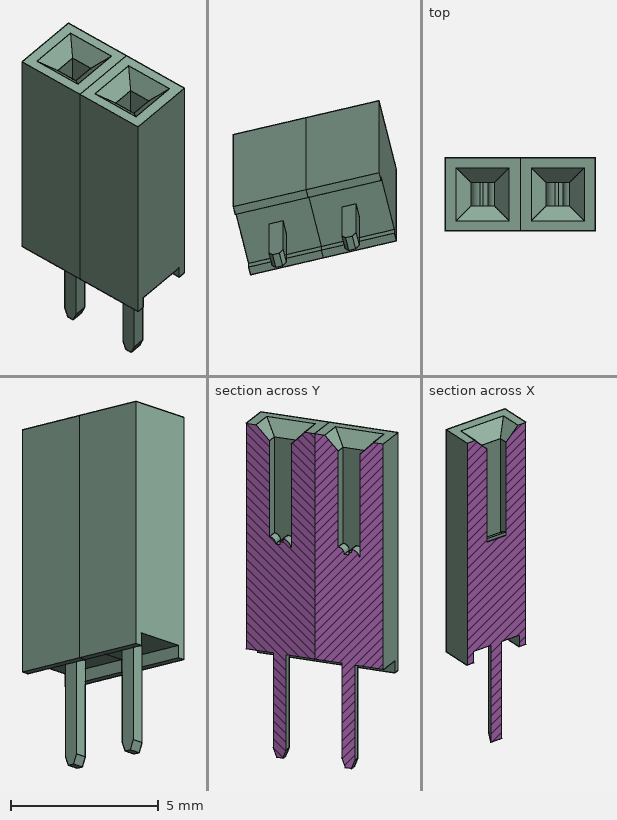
import cadquery as cq
import math

total_height = 11.88
pitch = 2.54
cell_count = 2
cell_depth = 2.48
pin_length = 3.3
cell_height = total_height - pin_length

foot_thickness = 0.29
channel_height = 0.44
channel_width = cell_depth - 2 * foot_thickness

mouth_size = 1.79
throat_size = 0.8
funnel_depth = (mouth_size - throat_size) / 2

floor_depth = 4.28
left_ridge_radius = 0.31
right_ridge_radius = 0.23
ledge_split = 0.42
ledge_step = 0.1

pin_width = 0.5
pin_thickness = 0.46
tip_width = 0.24
taper_height = 0.33
pin_offset = 0.02


def arc_middle(center_x, center_z, radius):
    """Midpoint of a ridge's quarter circle, which rises from left to right."""
    offset = radius * math.sqrt(0.5)
    return center_x - offset, center_z + offset


def make_housing_block():
    block = cq.Workplane("XY").box(pitch, cell_depth, cell_height, centered=(True, True, False))
    channel = cq.Workplane("XY").box(pitch, channel_width, channel_height, centered=(True, True, False))
    return block.cut(channel)


def make_socket():
    """Funnel and throat, as the volume to remove."""
    funnel = (
        cq.Workplane("XY", origin=(0, 0, cell_height - funnel_depth))
        .rect(throat_size, throat_size)
        .workplane(offset=funnel_depth)
        .rect(mouth_size, mouth_size)
        .loft(ruled=True)
    )
    throat_height = floor_depth - funnel_depth
    throat = (
        cq.Workplane("XY", origin=(0, 0, cell_height - floor_depth))
        .box(throat_size, throat_size, throat_height, centered=(True, True, False))
    )
    return funnel.union(throat)


def make_contact():
    """Ridge and ledge profile, extruded across the throat along Y."""
    left = -throat_size / 2
    right = throat_size / 2
    floor = cell_height - floor_depth
    left_crest = left + left_ridge_radius
    right_ridge = right - right_ridge_radius
    split = left + ledge_split
    upper_ledge = floor + 2 * ledge_step
    lower_ledge = floor + ledge_step
    return (
        cq.Workplane("XZ")
        .moveTo(left, floor)
        .threePointArc(
            arc_middle(left_crest, floor, left_ridge_radius),
            (left_crest, floor + left_ridge_radius),
        )
        .lineTo(left_crest, upper_ledge)
        .lineTo(split, upper_ledge)
        .lineTo(split, lower_ledge)
        .lineTo(right_ridge, lower_ledge)
        .threePointArc(
            arc_middle(right, lower_ledge, right_ridge_radius),
            (right, lower_ledge + right_ridge_radius),
        )
        .lineTo(right, floor)
        .close()
        .extrude(throat_size / 2, both=True)
    )


def make_pin():
    shoulder = taper_height - pin_length
    return (
        cq.Workplane("XZ")
        .polyline([
            (-pin_width / 2, channel_height),
            (-pin_width / 2, shoulder),
            (-tip_width / 2, -pin_length),
            (tip_width / 2, -pin_length),
            (pin_width / 2, shoulder),
            (pin_width / 2, channel_height),
        ])
        .close()
        .extrude(pin_thickness / 2, both=True)
        .translate((pin_offset, 0, 0))
    )


def make_socket_cell():
    """One connector position: housing, contact and pin as a single solid."""
    return make_housing_block().cut(make_socket()).union(make_contact()).union(make_pin())


socket_cells = []
for index in range(cell_count):
    cell_x = (index - (cell_count - 1) / 2) * pitch
    socket_cells.append(make_socket_cell().translate((cell_x, 0, 0)))

result = cq.Compound.makeCompound([cell.solids().val() for cell in socket_cells])